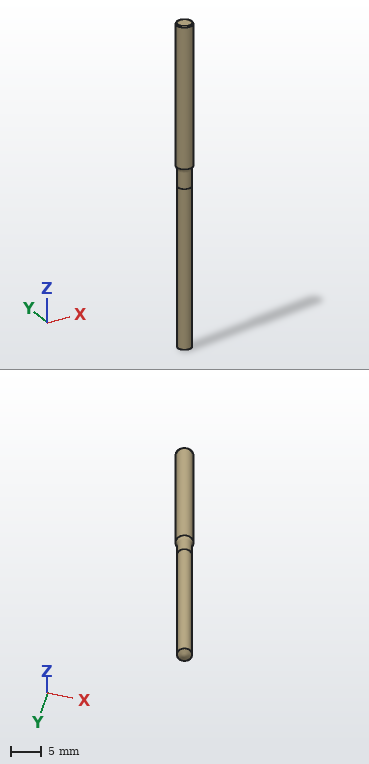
import cadquery as cq
import math

TOTAL_LENGTH = 60.0
SHANK_DIAMETER = 3.0
DRILL_DIAMETER = 2.5

TIP_ANGLE = 140.0
CUTTING_LENGTH = 30.0
NECK_LENGTH = 3.0
FLARE_RADIUS = 1.25
CHAMFER_HEIGHT = 0.25
CHAMFER_WIDTH = 0.2

shank_radius = SHANK_DIAMETER / 2
drill_radius = DRILL_DIAMETER / 2
tip_height = drill_radius / math.tan(math.radians(TIP_ANGLE / 2))
neck_top = CUTTING_LENGTH + NECK_LENGTH

flare_centre = drill_radius + FLARE_RADIUS
flare_angle = math.acos((flare_centre - shank_radius) / FLARE_RADIUS)
shank_bottom = neck_top + FLARE_RADIUS * math.sin(flare_angle)


def revolve_profile(points):
    """Revolve a closed straight-sided (radius, height) outline about the Z axis."""
    return cq.Workplane("XZ").polyline(points).close().revolve(360, (0, 0), (0, 1))


def make_cutting_part():
    """Cylinder with a conical drill point."""
    return revolve_profile([
        (0, 0),
        (drill_radius, tip_height),
        (drill_radius, CUTTING_LENGTH),
        (0, CUTTING_LENGTH),
    ])


def make_neck():
    """Cylinder of the drill diameter that flares out to meet the shank."""
    flare_middle = (
        flare_centre - FLARE_RADIUS * math.cos(flare_angle / 2),
        neck_top + FLARE_RADIUS * math.sin(flare_angle / 2),
    )
    return (
        cq.Workplane("XZ")
        .moveTo(0, CUTTING_LENGTH)
        .lineTo(drill_radius, CUTTING_LENGTH)
        .lineTo(drill_radius, neck_top)
        .threePointArc(flare_middle, (shank_radius, shank_bottom))
        .lineTo(0, shank_bottom)
        .close()
        .revolve(360, (0, 0), (0, 1))
    )


def make_shank():
    """Plain cylinder with a chamfered top edge."""
    return revolve_profile([
        (0, shank_bottom),
        (shank_radius, shank_bottom),
        (shank_radius, TOTAL_LENGTH - CHAMFER_HEIGHT),
        (shank_radius - CHAMFER_WIDTH, TOTAL_LENGTH),
        (0, TOTAL_LENGTH),
    ])


cutting_part = make_cutting_part()
neck = make_neck()
shank = make_shank()

result = cq.Compound.makeCompound([cutting_part.val(), neck.val(), shank.val()])